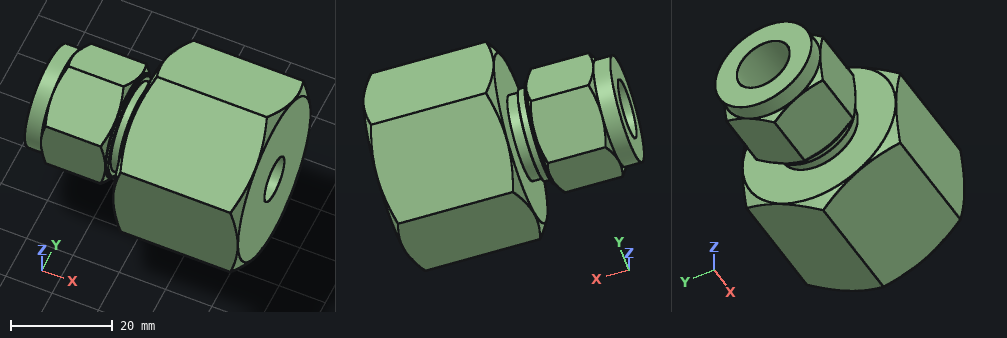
import cadquery as cq
import math


NUT_HEX_START = 3.5
NUT_HEX_END = 17.4
NUT_FACE_END = 17.9
SHOULDER_END = 19.6
BODY_START = 22.0
OVERALL_LENGTH = 49.0

NUT_ACROSS_FLATS = 21.95
NUT_COLLAR_DIAMETER = NUT_ACROSS_FLATS
NUT_FACE_DIAMETER = 21.05

SHOULDER_DIAMETER = 19.0
NECK_DIAMETER = 17.6

BODY_ACROSS_FLATS = 35.0
BODY_FACE_DIAMETER = 34.8

CHAMFER_ANGLE = math.radians(30)

TUBE_DIAMETER = 12.0
TUBE_DEPTH = 22.8
THROUGH_DIAMETER = 9.5


def cylinder(start, end, diameter):
    """Cylinder on the X axis between two stations."""
    return cq.Workplane("YZ", origin=(start, 0, 0)).circle(diameter / 2).extrude(end - start)


def chamfered_hex(start, end, across_flats, face_diameter):
    """Hexagonal prism on the X axis, corners up and down, coned down to a round face at each end."""
    corner_radius = across_flats / math.sqrt(3)
    face_radius = face_diameter / 2
    chamfer_length = (corner_radius - face_radius) * math.tan(CHAMFER_ANGLE)
    prism = (
        cq.Workplane("YZ", origin=(start, 0, 0))
        .transformed(rotate=(0, 0, 90))
        .polygon(6, 2 * corner_radius)
        .extrude(end - start)
    )
    envelope = (
        cq.Workplane("XY")
        .moveTo(start, 0)
        .lineTo(start, face_radius)
        .lineTo(start + chamfer_length, corner_radius)
        .lineTo(end - chamfer_length, corner_radius)
        .lineTo(end, face_radius)
        .lineTo(end, 0)
        .close()
        .revolve(360, (0, 0, 0), (1, 0, 0))
    )
    return prism.intersect(envelope)


def make_nut():
    collar = cylinder(0, NUT_HEX_START, NUT_COLLAR_DIAMETER)
    hexagon = chamfered_hex(NUT_HEX_START, NUT_HEX_END, NUT_ACROSS_FLATS, NUT_COLLAR_DIAMETER)
    face = cylinder(NUT_HEX_END, NUT_FACE_END, NUT_FACE_DIAMETER)
    return collar.union(hexagon).union(face)


def make_neck():
    shoulder = cylinder(NUT_FACE_END, SHOULDER_END, SHOULDER_DIAMETER)
    neck = cylinder(SHOULDER_END, BODY_START, NECK_DIAMETER)
    return shoulder.union(neck)


def make_bores():
    tube_socket = cylinder(0, TUBE_DEPTH, TUBE_DIAMETER)
    through_bore = cylinder(0, OVERALL_LENGTH, THROUGH_DIAMETER)
    return tube_socket.union(through_bore)


body = chamfered_hex(BODY_START, OVERALL_LENGTH, BODY_ACROSS_FLATS, BODY_FACE_DIAMETER)
result = make_nut().union(make_neck()).union(body).cut(make_bores())